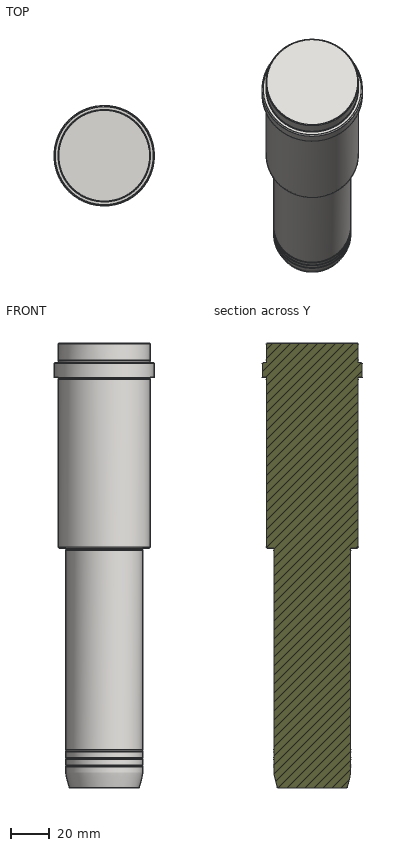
import cadquery as cq

total_length = 230.0
head_length = 10.0
collar_length = 7.8
shoulder_z = 124.0
collar_top_z = total_length - head_length
collar_bottom_z = collar_top_z - collar_length

collar_radius = 26.0
body_radius = 24.0
pin_radius = 20.0

head_chamfer = 0.5
collar_chamfer = 0.7
shoulder_chamfer = 0.7
tip_chamfer = 0.5

nose_height = 8.0
nose_inset = 1.8
nose_arc_radius = 46.0

groove_width = 1.2
groove_depth = 0.2

pin_groove_count = 3
pin_groove_pitch = 4.0
lowest_groove_z = 11.5


def make_cylinder(radius, bottom_z, top_z):
    """Solid cylinder on the Z axis between two heights."""
    return cq.Workplane("XY").workplane(offset=bottom_z).circle(radius).extrude(top_z - bottom_z)


def make_pin():
    """Lower pin: chamfered tip, tapered nose and straight shank up to the shoulder."""
    nose_end_radius = pin_radius - nose_inset
    return (
        cq.Workplane("XZ")
        .lineTo(nose_end_radius - tip_chamfer, 0)
        .lineTo(nose_end_radius, tip_chamfer)
        .radiusArc((pin_radius, nose_height), -nose_arc_radius)
        .lineTo(pin_radius, shoulder_z)
        .lineTo(0, shoulder_z)
        .close()
        .revolve(360, (0, 0), (0, 1))
    )


def make_body():
    """Thicker upper cylinder, chamfered at the shoulder and at the top."""
    body = make_cylinder(body_radius, shoulder_z, total_length)
    return body.faces("<Z").chamfer(shoulder_chamfer).faces(">Z").chamfer(head_chamfer)


def make_collar():
    """Collar ring around the body, chamfered on its upper rim only."""
    collar = make_cylinder(collar_radius, collar_bottom_z, collar_top_z)
    return collar.faces(">Z").chamfer(collar_chamfer)


def make_groove(wall_radius, center_z):
    """Triangular ring that cuts one V-groove into a wall of the given radius."""
    half_width = groove_width / 2
    return (
        cq.Workplane("XZ")
        .moveTo(wall_radius, center_z - half_width)
        .lineTo(wall_radius - groove_depth, center_z)
        .lineTo(wall_radius, center_z + half_width)
        .close()
        .revolve(360, (0, 0), (0, 1))
    )


grooves = [
    (body_radius, collar_top_z + groove_width / 2),
    (body_radius, collar_bottom_z - groove_width / 2),
    (pin_radius, shoulder_z - groove_width / 2),
]
for index in range(pin_groove_count):
    grooves.append((pin_radius, lowest_groove_z + index * pin_groove_pitch))

result = make_pin().union(make_body()).union(make_collar())
for wall_radius, center_z in grooves:
    result = result.cut(make_groove(wall_radius, center_z))